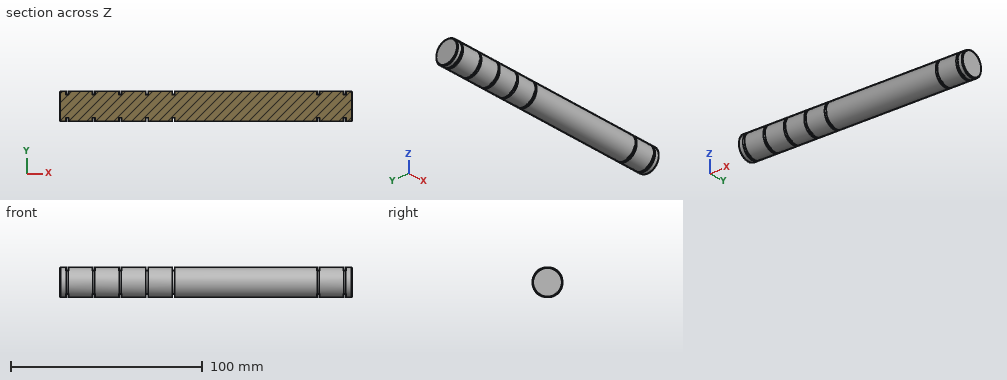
import cadquery as cq

LENGTH = 152.4
DIAMETER = 15.875
CHAMFER = 0.508

GROOVE_WIDTH = 1.168
GROOVE_DIAMETER = 12.4
END_LAND = 3.175
GROOVE_LAND = 12.7
GROOVE_PITCH = GROOVE_LAND + GROOVE_WIDTH
LEFT_GROOVES = 5
RIGHT_GROOVES = 2

CUTTER_DIAMETER = DIAMETER * 2


def cylinder_along_x(start_x, length, diameter):
    return cq.Workplane("YZ", origin=(start_x, 0, 0)).circle(diameter / 2).extrude(length)


def make_shaft():
    shaft = cylinder_along_x(-LENGTH / 2, LENGTH, DIAMETER)
    return shaft.faces("<X or >X").chamfer(CHAMFER)


def groove_cutter(center_x):
    """Ring that cuts one square-bottomed groove around the shaft."""
    start_x = center_x - GROOVE_WIDTH / 2
    outside = cylinder_along_x(start_x, GROOVE_WIDTH, CUTTER_DIAMETER)
    core = cylinder_along_x(start_x, GROOVE_WIDTH, GROOVE_DIAMETER)
    return outside.cut(core)


def groove_centers():
    """Groove positions, stepping inward from each end at the same pitch."""
    outermost = LENGTH / 2 - END_LAND - GROOVE_WIDTH / 2
    left = [-outermost + i * GROOVE_PITCH for i in range(LEFT_GROOVES)]
    right = [outermost - i * GROOVE_PITCH for i in range(RIGHT_GROOVES)]
    return left + right


result = make_shaft()
for center_x in groove_centers():
    result = result.cut(groove_cutter(center_x))